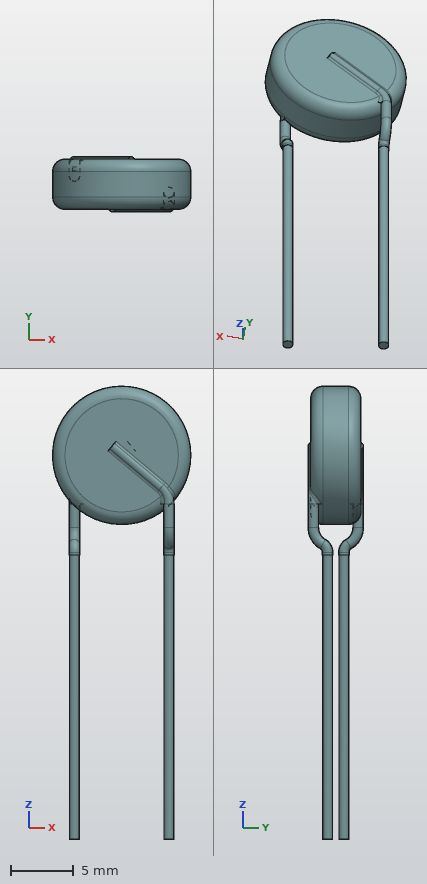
import cadquery as cq
import math

disc_diameter = 11.0
disc_thickness = 4.0
disc_edge_radius = 1.0

overall_height = 36.0
overall_depth = 4.4
lead_pitch = 7.5
coated_diameter = 0.85
wire_diameter = 0.8
wire_offset = 0.65

slant_angle = 50.0
slant_bend_radius = 1.7
slant_bend_end_z = -3.85
run_length = 5.1
blend_radius = 0.3

kink_start_z = -5.75
kink_angle = 60.0
kink_upper_radius = 1.5
collar_height = 0.2

tolerance = 0.01

lead_x = lead_pitch / 2
coated_offset = overall_depth / 2 - coated_diameter / 2
bottom_z = disc_diameter / 2 - overall_height

kink_turn = math.radians(kink_angle)
kink_radius_sum = (coated_offset - wire_offset) / (1 - math.cos(kink_turn))
kink_lower_radius = kink_radius_sum - kink_upper_radius
kink_end_z = kink_start_z - kink_radius_sum * math.sin(kink_turn)
collar_end_z = kink_end_z - collar_height


def make_disc():
    cylinder = (
        cq.Workplane("XZ", origin=(0, disc_thickness / 2, 0))
        .circle(disc_diameter / 2)
        .extrude(disc_thickness)
    )
    return cylinder.edges().fillet(disc_edge_radius)


def make_rod(y, bottom, top, diameter):
    """Vertical round rod on the lead's X position."""
    section = cq.Workplane("XY", origin=(lead_x, y, bottom))
    return section.circle(diameter / 2).extrude(top - bottom)


def make_slanted_run():
    """Coated lead partly sunk in the -Y face: a bend, then a run to the disc centre."""
    angle = math.radians(slant_angle)
    centre_x = lead_x - slant_bend_radius

    def bend_point(turn):
        return (
            centre_x + slant_bend_radius * math.cos(turn),
            slant_bend_end_z + slant_bend_radius * math.sin(turn),
        )

    bend_end = bend_point(angle)
    tip = (
        bend_end[0] - run_length * math.sin(angle),
        bend_end[1] + run_length * math.cos(angle),
    )
    path = (
        cq.Workplane("XZ", origin=(0, -coated_offset, 0))
        .moveTo(lead_x, slant_bend_end_z)
        .threePointArc(bend_point(angle / 2), bend_end)
        .lineTo(*tip)
    )
    section = cq.Workplane("XY", origin=(lead_x, -coated_offset, slant_bend_end_z))
    return section.circle(coated_diameter / 2).sweep(path)


def make_kink():
    """Coated S-bend that brings the lead in towards the disc mid-plane."""

    def upper_point(turn):
        return (
            -coated_offset + kink_upper_radius * (1 - math.cos(turn)),
            kink_start_z - kink_upper_radius * math.sin(turn),
        )

    def lower_point(turn):
        return (
            -wire_offset - kink_lower_radius * (1 - math.cos(turn)),
            kink_end_z + kink_lower_radius * math.sin(turn),
        )

    path = (
        cq.Workplane("YZ", origin=(lead_x, 0, 0))
        .moveTo(-coated_offset, kink_start_z)
        .threePointArc(upper_point(kink_turn / 2), upper_point(kink_turn))
        .threePointArc(lower_point(kink_turn / 2), lower_point(0))
    )
    section = cq.Workplane("XY", origin=(lead_x, -coated_offset, kink_start_z))
    return section.circle(coated_diameter / 2).sweep(path)


def make_lower_lead():
    """Lead below the slanted run: straight, kink, collar and bare wire."""
    straight = make_rod(-coated_offset, kink_start_z, slant_bend_end_z, coated_diameter)
    collar = make_rod(-wire_offset, collar_end_z, kink_end_z, coated_diameter)
    wire = make_rod(-wire_offset, bottom_z, collar_end_z, wire_diameter)
    return straight.union(make_kink()).union(collar).union(wire)


def half_turn(shape):
    return shape.rotate((0, 0, 0), (0, 0, 1), 180)


def is_run_side(edge):
    """True for the straight edges along the two sides of the slanted run."""
    on_face = abs(edge.Center().y + disc_thickness / 2) < tolerance
    return on_face and edge.Length() > run_length / 2


def add_lead(body):
    """Join a lead to the -Y face, with its slanted run blended into the disc."""
    with_run = body.union(make_slanted_run())
    run_sides = [edge for edge in with_run.edges("%LINE").vals() if is_run_side(edge)]
    blended = with_run.newObject(run_sides).fillet(blend_radius)
    return blended.union(make_lower_lead())


with_front_lead = add_lead(make_disc())
result = half_turn(add_lead(half_turn(with_front_lead)))